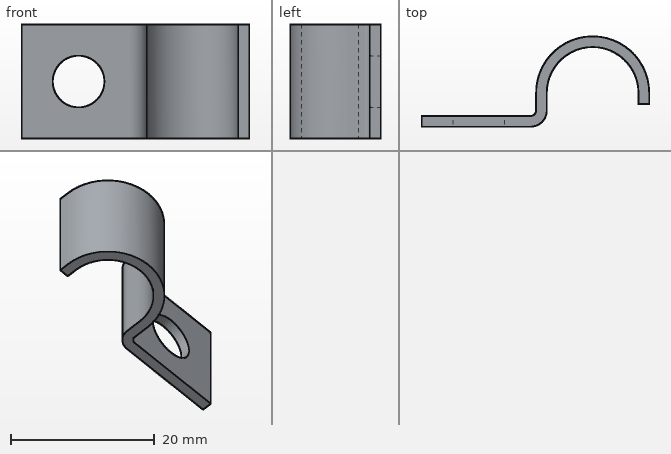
import cadquery as cq

length = 31.67
depth = 12.6
width = 15.87
thickness = 1.52

arch_outer_radius = 7.9
arch_inner_radius = arch_outer_radius - thickness
lip_length = 1.55
bend_inner_radius = 0.75
bend_outer_radius = bend_inner_radius + thickness
hole_diameter = 7.15
hole_from_end = 7.92

arch_x = length - arch_outer_radius
arch_y = depth - arch_outer_radius
wall_outer_x = arch_x - arch_outer_radius
wall_inner_x = arch_x - arch_inner_radius
lip_inner_x = arch_x + arch_inner_radius
lip_y = arch_y - lip_length
bend_x = wall_outer_x - bend_inner_radius


def strip_body():
    """Bent strip: flat tab, rounded bend, short wall, half-round arch and lip."""
    profile = (
        cq.Workplane("XY")
        .moveTo(0, 0)
        .lineTo(bend_x, 0)
        .radiusArc((wall_inner_x, bend_outer_radius), -bend_outer_radius)
        .lineTo(wall_inner_x, arch_y)
        .threePointArc((arch_x, arch_y + arch_inner_radius), (lip_inner_x, arch_y))
        .lineTo(lip_inner_x, lip_y)
        .lineTo(length, lip_y)
        .lineTo(length, arch_y)
        .threePointArc((arch_x, depth), (wall_outer_x, arch_y))
        .lineTo(wall_outer_x, bend_outer_radius)
        .radiusArc((bend_x, thickness), bend_inner_radius)
        .lineTo(0, thickness)
        .close()
    )
    return profile.extrude(width)


def mounting_hole():
    """Cylinder through the tab, along Y, centred across the strip width."""
    return (
        cq.Workplane("XZ")
        .center(hole_from_end, width / 2)
        .circle(hole_diameter / 2)
        .extrude(-thickness)
    )


result = strip_body().cut(mounting_hole())